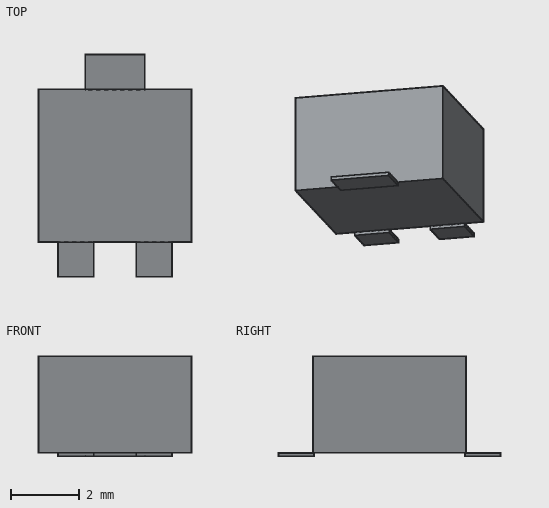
import cadquery as cq

housing_side = 4.5
housing_height = 2.85

lead_thickness = 0.1
lead_length = 1.05
lead_span = 6.54
front_lead_width = 1.05
front_lead_pitch = 2.3
rear_lead_width = 1.75

lead_offset = (lead_span - lead_length) / 2


def make_housing():
    """Square block whose underside rests on top of the leads."""
    return (
        cq.Workplane("XY")
        .workplane(offset=lead_thickness)
        .rect(housing_side, housing_side)
        .extrude(housing_height)
    )


def make_lead(width, x, y):
    """Flat rectangular lead centred at (x, y), with its underside at Z = 0."""
    return cq.Workplane("XY").center(x, y).rect(width, lead_length).extrude(lead_thickness)


housing = make_housing()
rear_lead = make_lead(rear_lead_width, 0, lead_offset)
front_leads = [
    make_lead(front_lead_width, side * front_lead_pitch / 2, -lead_offset)
    for side in (-1, 1)
]

result = cq.Compound.makeCompound(
    [housing.val(), rear_lead.val(), *[lead.val() for lead in front_leads]]
)